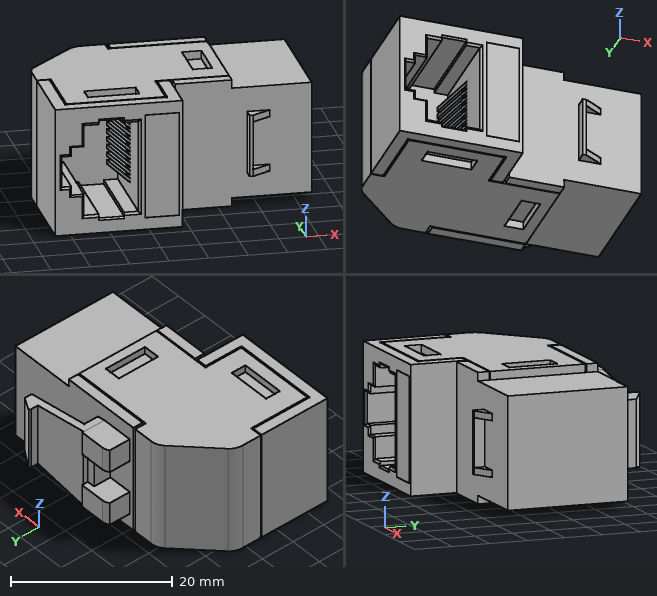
import cadquery as cq


length = 33.8
height = 16.65
back_y = 21.97
port_block_x = 16.12
plug_block_x = 23.65
plug_front_y = 5.98
step = 1.08
corner_leg = 7.0
corner_radius = 2.55

shell_wall = 1.6
groove = 0.2
rear_groove_y = 20.25
right_groove_x = 14.33
inner_corner_y = 7.65

rear_slit_x = 11.05
slit = 0.35
left_slit_y = 10.8
narrow_slit = 0.15

plug_leg_window = (19.75, 22.2, 10.75, 17.15)
port_leg_window = (4.9, 11.42, 3.6, 5.85)

half_height = height / 2


def box(x0, x1, y0, y1, z0, z1):
    return cq.Workplane("XY").box(x1 - x0, y1 - y0, z1 - z0, centered=False).translate((x0, y0, z0))


def prism(points, half_width):
    """Plan outline extruded between Z = +-half_width."""
    return cq.Workplane("XY").polyline(points).close().extrude(half_width, both=True)


def make_body():
    outline = [
        (0, 0), (port_block_x, 0), (port_block_x, plug_front_y), (length, plug_front_y),
        (length, back_y), (corner_leg, back_y), (0, back_y - corner_leg),
    ]
    body = prism(outline, half_height)
    reach = 0.35
    for x, y in ((corner_leg, back_y), (0, back_y - corner_leg)):
        body = body.edges(cq.selectors.BoxSelector(
            (x - reach, y - reach, -reach), (x + reach, y + reach, reach))).fillet(corner_radius)
    for side in (-1, 1):
        z0, z1 = sorted((side * half_height, side * (half_height - step)))
        body = body.cut(box(plug_block_x, length, plug_front_y, back_y, z0, z1))
    return body


def make_slits():
    slits = box(rear_slit_x, rear_slit_x + slit, rear_groove_y, back_y, -half_height, half_height)
    slits = slits.union(box(port_block_x, port_block_x + slit, plug_front_y, inner_corner_y,
                            -half_height, half_height))
    return slits.union(box(0, shell_wall + groove, left_slit_y, left_slit_y + narrow_slit,
                           -half_height, half_height))


def make_cover_grooves(z0, z1):
    """Grooves and two latch windows; everything is cut between Z = z0 and z1."""
    runs = [
        (rear_slit_x, plug_block_x, rear_groove_y, rear_groove_y + groove),
        (shell_wall, shell_wall + groove, shell_wall, left_slit_y + narrow_slit),
        (shell_wall, right_groove_x + groove, shell_wall, shell_wall + groove),
        (right_groove_x, right_groove_x + groove, shell_wall, inner_corner_y),
        (right_groove_x, port_block_x, inner_corner_y - groove, inner_corner_y),
        (port_block_x, plug_block_x, inner_corner_y - narrow_slit, inner_corner_y),
    ]
    cut = cq.Workplane("XY")
    for x0, x1, y0, y1 in runs + [plug_leg_window, port_leg_window]:
        cut = cut.union(box(x0, x1, y0, y1, z0, z1))
    return cut


port_depth = 12.17
lead_in = 0.2
port_right_x = 10.55


def port_outline(steps, right_x, tab_half):
    """Stepped outline, symmetric in Z; steps are (x, half height) from the narrow end."""
    tab_x0, tab_x1 = 5.55, 8.75
    upper = []
    for index, (x, half) in enumerate(steps):
        if index:
            upper.append((x, steps[index - 1][1]))
        upper.append((x, half))
    wide = steps[-1][1]
    upper += [(tab_x0, wide), (tab_x0, tab_half), (tab_x1, tab_half), (tab_x1, wide), (right_x, wide)]
    return upper + [(x, -z) for x, z in reversed(upper)]


def make_port():
    mouth_steps = [(0.65, 2.3), (1.83, 3.35), (3.4, 6.25)]
    throat_steps = [(0.85, 2.0), (2.05, 3.15), (3.65, 5.9)]
    mouth = port_outline(mouth_steps, right_x=10.9, tab_half=6.65)
    throat = port_outline(throat_steps, right_x=port_right_x, tab_half=6.42)
    bevel = (cq.Workplane("XZ").polyline(mouth).close()
             .workplane(offset=-lead_in).polyline(throat).close().loft(ruled=True))
    hole = cq.Workplane("XZ").polyline(throat).close().extrude(-port_depth)
    return hole.union(bevel)


def make_contacts():
    count, pitch, thickness = 8, 1.0, 0.55
    start_y, tip_x = 5.0, 9.15
    wedge = [(port_right_x, start_y), (tip_x, port_depth), (port_right_x, port_depth)]
    contact = prism(wedge, thickness / 2)
    contacts = cq.Workplane("XY")
    for index in range(count):
        contacts = contacts.union(contact.translate((0, 0, (index - (count - 1) / 2) * pitch)))
    return contacts


def make_label():
    label_x0, label_x1 = 11.4, 15.7
    label_half_height, label_depth = 6.75, 0.05
    return box(label_x0, label_x1, 0, label_depth, -label_half_height, label_half_height)


catch_x = 25.6


def make_catch():
    tip_y, tip_x, ramp_end_x = 4.53, 26.05, 28.5
    half_width, inner_half_width = 4.02, 3.15
    profile = [(catch_x, plug_front_y), (catch_x, tip_y), (tip_x, tip_y), (ramp_end_x, plug_front_y)]
    gap_between_ramps = box(tip_x, ramp_end_x, tip_y, plug_front_y, -inner_half_width, inner_half_width)
    return prism(profile, half_width).cut(gap_between_ramps)


def make_latch():
    rail_x0, rail_x1, rail_y = 12.05, 16.95, 25.6
    nose_length, nose_drop = 1.0, 0.37
    rail_half, rail_inner_half = 6.05, 2.5
    post_x1, arm_y0, arm_y1, arm_end_x = 18.1, 24.2, 25.35, 28.1
    hook_y, hook_half = 26.75, 4.73
    ledge_length, ledge_y = 1.18, 24.65
    hook_bevel_x, hook_bevel_y = 0.17, 0.27

    rail_profile = (cq.Workplane("XY").moveTo(rail_x0, back_y).lineTo(rail_x0, rail_y - nose_drop)
                    .threePointArc((rail_x0 + nose_length / 2, rail_y - nose_drop / 4),
                                   (rail_x0 + nose_length, rail_y))
                    .lineTo(rail_x1, rail_y).lineTo(rail_x1, back_y).close())
    rails = rail_profile.extrude(rail_half, both=True)
    rails = rails.cut(box(rail_x0, rail_x1, back_y, rail_y, -rail_inner_half, rail_inner_half))

    arm_profile = [
        (rail_x1, back_y), (post_x1, back_y), (post_x1, arm_y0), (arm_end_x, arm_y0),
        (arm_end_x, arm_y1), (catch_x + hook_bevel_x, hook_y), (catch_x, hook_y - hook_bevel_y),
        (catch_x, arm_y1), (rail_x1, arm_y1),
    ]
    arm_end_half = rail_half - (rail_half - hook_half) * (arm_end_x - rail_x1) / (catch_x - rail_x1)
    arm_plan = [
        (rail_x1, -rail_half), (arm_end_x, -arm_end_half),
        (arm_end_x, arm_end_half), (rail_x1, rail_half),
    ]
    taper = cq.Workplane("XZ").polyline(arm_plan).close().extrude(-hook_y)
    arm = prism(arm_profile, rail_half).intersect(taper)
    ledge = box(rail_x1 - ledge_length, rail_x1, back_y, ledge_y, -rail_inner_half, rail_inner_half)
    return rails.union(arm).union(ledge)


result = make_body().cut(make_slits())
result = result.cut(make_cover_grooves(half_height - step, half_height))
result = result.cut(make_cover_grooves(-half_height, step - half_height))
result = result.cut(make_port()).union(make_contacts())
result = result.cut(make_label()).union(make_catch()).union(make_latch())